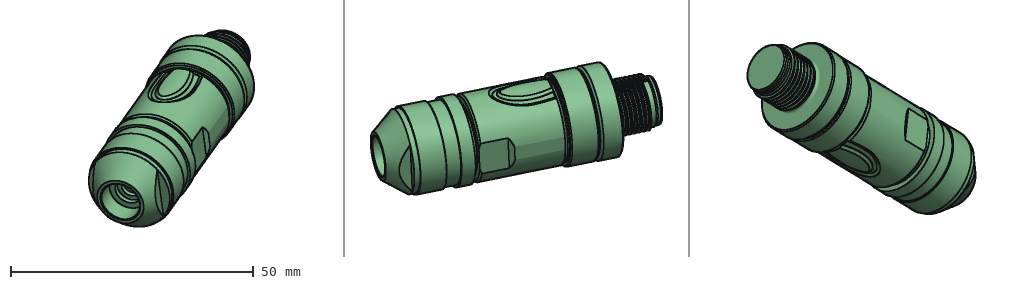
import cadquery as cq
import math

OVERALL_LENGTH = 59.9
ROLL_ANGLE = 7.0

CONE_TOP = 4.9
NUT_BAND_START = 6.15
NUT_BAND_END = 11.8
FLANGE_START = 15.0
FLANGE_END = 17.95
REAR_NECK_END = 19.0
BODY_START = 19.1
BODY_END = 37.5
WASHER_START = 37.75
GRIP_START = 38.5
GRIP_END = 44.75
COLLAR_START = 45.05
COLLAR_END = 49.95

CONE_TIP_RADIUS = 5.15
NUT_RADIUS = 9.0
FLANGE_RADIUS = 9.5
REAR_NECK_RADIUS = 8.25
REAR_NECK_FILLET = 0.9
REAR_CORE_RADIUS = REAR_NECK_RADIUS - REAR_NECK_FILLET
BODY_RADIUS = 9.35
NUT_BAND_RADIUS = BODY_RADIUS
FRONT_NECK_RADIUS = 8.45
WASHER_RADIUS = 8.9
GRIP_RADIUS = 9.9
GROOVE_RADIUS = 9.15
COLLAR_RADIUS = 10.0

COLLAR_BEVEL = 0.55
WASHER_BEVEL = 0.4
RING_BEVEL = 0.3
BODY_BEVEL = 0.4

PLUG_CORE_RADIUS = 5.4
PLUG_PILOT_RADIUS = 5.2
PLUG_ROOT_RADIUS = 5.6
PLUG_ROOT_FILLET = 0.6
PLUG_ROOT_LENGTH = 0.8
PILOT_START = 58.9
PILOT_TAPER_LENGTH = 0.4
PLUG_TIP_BEVEL_LENGTH = 0.4
PLUG_TIP_BEVEL_DEPTH = 0.2
THREAD_RADIUS = 5.95
THREAD_START = 50.85
THREAD_END = 57.85
THREAD_TURNS = 7
THREAD_LENGTH = THREAD_END - THREAD_START
THREAD_BASE_WIDTH = 0.65
THREAD_CREST_WIDTH = 0.25
THREAD_OVERLAP = 0.1

BORE_RADIUS = 4.25
BORE_DEPTH = 4.55
BORE_BEVEL = 0.2
SEAL_RADIUS = 3.0
SEAL_DEPTH = 1.2
CABLE_RADIUS = 2.05
CABLE_DEPTH = 1.2

NUT_FLAT_DISTANCE = 6.95
SIDE_FLAT_WIDTH = 3.1
WRENCH_FLAT_WIDTH = 7.3
SIDE_FLAT_DISTANCE = math.sqrt(BODY_RADIUS ** 2 - (SIDE_FLAT_WIDTH / 2) ** 2)
WRENCH_FLAT_DISTANCE = math.sqrt(BODY_RADIUS ** 2 - (WRENCH_FLAT_WIDTH / 2) ** 2)
WRENCH_FLAT_END = 25.45
WRENCH_RAMP_END = 26.6

BADGE_CENTER = 32.35
BADGE_DEPTH = 0.5
BADGE_WALL_DROP = 0.4
RECESS_WALL_RUN = 0.7
ISLAND_WALL_RUN = 0.65
RECESS_HALF_WIDTH = 4.75
RECESS_REAR_LENGTH = 7.9
RECESS_FRONT_LENGTH = 13.8
ISLAND_HALF_WIDTH = 3.2
ISLAND_REAR_LENGTH = 6.3
ISLAND_FRONT_LENGTH = 7.9
RIM_SAMPLES = (0, 0.3, 0.7)
RIM_TOLERANCE = 0.005


def turned(points):
    """Solid of revolution about Y from a (radius, Y) outline."""
    return cq.Workplane("XY").polyline(points).close().revolve(360, (0, 0), (0, 1))


def ring(start, end, radius, start_bevel=0.0, end_bevel=0.0):
    """Disc on the Y axis from start to end, with an optional 45 degree bevel on each rim."""
    points = [(0, start), (radius - start_bevel, start)]
    if start_bevel:
        points.append((radius, start + start_bevel))
    if end_bevel:
        points.append((radius, end - end_bevel))
    return turned(points + [(radius - end_bevel, end), (0, end)])


def cone(start, end, start_radius, end_radius):
    """Truncated cone on the Y axis."""
    return turned([(0, start), (start_radius, start), (end_radius, end), (0, end)])


def outer_slabs(outline):
    """Cutting blocks left and right of the axis, from an XY outline on the +X side."""
    slab = cq.Workplane("XY").polyline(outline).close().extrude(COLLAR_RADIUS, both=True)
    return slab.union(slab.mirror("YZ"))


def half_oval(half_width, length):
    """Half-ellipse prism on the +Z side, reaching from the badge centre by a signed length along Y."""
    full = cq.Workplane("XY").ellipse(half_width, abs(length)).extrude(2 * BODY_RADIUS)
    keep = cq.Workplane("XY").rect(4 * half_width, abs(length)).extrude(2 * BODY_RADIUS)
    return full.intersect(keep.translate((0, length / 2, 0))).translate((0, BADGE_CENTER, 0))


def badge_layer(half_width, rear_length, front_length):
    """Egg-shaped slice of the body skin, one badge depth thick, running past the body end."""
    egg = half_oval(half_width, front_length).union(half_oval(half_width, -rear_length))
    far_end = BADGE_CENTER + 2 * RECESS_FRONT_LENGTH
    skin = ring(BODY_START, far_end, BODY_RADIUS).cut(ring(BODY_START, far_end, BODY_RADIUS - BADGE_DEPTH))
    return skin.intersect(egg)


def layer_rim(layer, radius):
    """Edges of a badge layer that lie on the given radius about Y."""
    def lies_on_radius(edge):
        points = [edge.positionAt(t) for t in RIM_SAMPLES]
        return all(math.isclose(math.hypot(p.x, p.z), radius, abs_tol=RIM_TOLERANCE) for p in points)

    return layer.newObject([edge for edge in layer.edges().vals() if lies_on_radius(edge)])


def badge_cutter():
    """Recess with a sloping outer wall, around an island with a bevelled top rim."""
    recess = badge_layer(RECESS_HALF_WIDTH, RECESS_REAR_LENGTH, RECESS_FRONT_LENGTH)
    island = badge_layer(ISLAND_HALF_WIDTH, ISLAND_REAR_LENGTH, ISLAND_FRONT_LENGTH)
    recess = layer_rim(recess, BODY_RADIUS - BADGE_DEPTH).chamfer(BADGE_WALL_DROP, RECESS_WALL_RUN)
    island = layer_rim(island, BODY_RADIUS).chamfer(ISLAND_WALL_RUN, BADGE_WALL_DROP)
    return recess.cut(island)


def make_nut():
    nose = cone(0, CONE_TOP, CONE_TIP_RADIUS, NUT_RADIUS)
    far = NUT_RADIUS
    nose = nose.cut(outer_slabs([
        (NUT_FLAT_DISTANCE, 0), (far, 0), (far, CONE_TOP), (NUT_FLAT_DISTANCE, CONE_TOP)]))
    nut = nose.union(ring(CONE_TOP, FLANGE_START, NUT_RADIUS))
    nut = nut.union(ring(NUT_BAND_START, NUT_BAND_END, NUT_BAND_RADIUS))
    return nut.union(ring(FLANGE_START, FLANGE_END, FLANGE_RADIUS))


def make_body():
    body = ring(BODY_START, BODY_END, BODY_RADIUS, start_bevel=BODY_BEVEL)
    far = COLLAR_RADIUS
    body = body.cut(outer_slabs([
        (WRENCH_FLAT_DISTANCE, BODY_START),
        (WRENCH_FLAT_DISTANCE, WRENCH_FLAT_END),
        (SIDE_FLAT_DISTANCE, WRENCH_RAMP_END),
        (SIDE_FLAT_DISTANCE, BODY_END),
        (far, BODY_END),
        (far, BODY_START),
    ]))
    cutter = badge_cutter()
    for angle in (0, 180):
        body = body.cut(cutter.rotate((0, 0, 0), (0, 1, 0), angle))
    return body


def make_plug():
    root_end = COLLAR_END + PLUG_ROOT_LENGTH
    fillet_mid = PLUG_ROOT_FILLET * (1 - math.sqrt(0.5))
    core = (
        cq.Workplane("XY")
        .moveTo(0, GRIP_END)
        .lineTo(PLUG_ROOT_RADIUS + PLUG_ROOT_FILLET, GRIP_END)
        .lineTo(PLUG_ROOT_RADIUS + PLUG_ROOT_FILLET, COLLAR_END)
        .threePointArc(
            (PLUG_ROOT_RADIUS + fillet_mid, COLLAR_END + fillet_mid),
            (PLUG_ROOT_RADIUS, COLLAR_END + PLUG_ROOT_FILLET),
        )
        .lineTo(PLUG_ROOT_RADIUS, root_end)
        .lineTo(PLUG_CORE_RADIUS, root_end)
        .lineTo(PLUG_CORE_RADIUS, PILOT_START - PILOT_TAPER_LENGTH)
        .lineTo(PLUG_PILOT_RADIUS, PILOT_START)
        .lineTo(PLUG_PILOT_RADIUS, OVERALL_LENGTH - PLUG_TIP_BEVEL_LENGTH)
        .lineTo(PLUG_PILOT_RADIUS - PLUG_TIP_BEVEL_DEPTH, OVERALL_LENGTH)
        .lineTo(0, OVERALL_LENGTH)
        .close()
        .revolve(360, (0, 0), (0, 1))
    )
    return core.union(make_thread())


def make_thread():
    """Right-handed trapezoidal ridge, starting and ending on the +Z side."""
    root = PLUG_CORE_RADIUS - THREAD_OVERLAP
    helix = cq.Wire.makeHelix(THREAD_LENGTH / THREAD_TURNS, THREAD_LENGTH, root)
    ridge = (
        cq.Workplane("XZ")
        .polyline([
            (root, -THREAD_BASE_WIDTH / 2),
            (THREAD_RADIUS, -THREAD_CREST_WIDTH / 2),
            (THREAD_RADIUS, THREAD_CREST_WIDTH / 2),
            (root, THREAD_BASE_WIDTH / 2),
        ])
        .close()
        .sweep(cq.Workplane(helix), isFrenet=True)
    )
    ridge = ridge.rotate((0, 0, 0), (0, 0, 1), -90).rotate((0, 0, 0), (1, 0, 0), -90)
    return ridge.translate((0, THREAD_START, 0))


def make_bore():
    seal_end = BORE_DEPTH + SEAL_DEPTH
    bore = ring(0, BORE_DEPTH, BORE_RADIUS)
    bore = bore.union(cone(0, BORE_BEVEL, BORE_RADIUS + BORE_BEVEL, BORE_RADIUS))
    bore = bore.union(ring(0, seal_end, SEAL_RADIUS))
    return bore.union(ring(0, seal_end + CABLE_DEPTH, CABLE_RADIUS))


neck = ring(FLANGE_START, REAR_NECK_END, REAR_NECK_RADIUS).faces(">Y").edges().fillet(REAR_NECK_FILLET)
neck = neck.union(ring(FLANGE_START, BODY_END, REAR_CORE_RADIUS))
rear = make_nut().union(neck).union(make_body())
rear = rear.rotate((0, 0, 0), (0, 1, 0), -ROLL_ANGLE)

coupling = ring(BODY_START, GRIP_END, FRONT_NECK_RADIUS)
coupling = coupling.union(ring(WASHER_START, GRIP_END, WASHER_RADIUS, WASHER_BEVEL))
coupling = coupling.union(ring(GRIP_START, GRIP_END, GRIP_RADIUS, RING_BEVEL, RING_BEVEL))
coupling = coupling.union(ring(GRIP_START, COLLAR_END, GROOVE_RADIUS))
coupling = coupling.union(ring(COLLAR_START, COLLAR_END, COLLAR_RADIUS, COLLAR_BEVEL, RING_BEVEL))

result = rear.union(coupling).union(make_plug()).cut(make_bore())